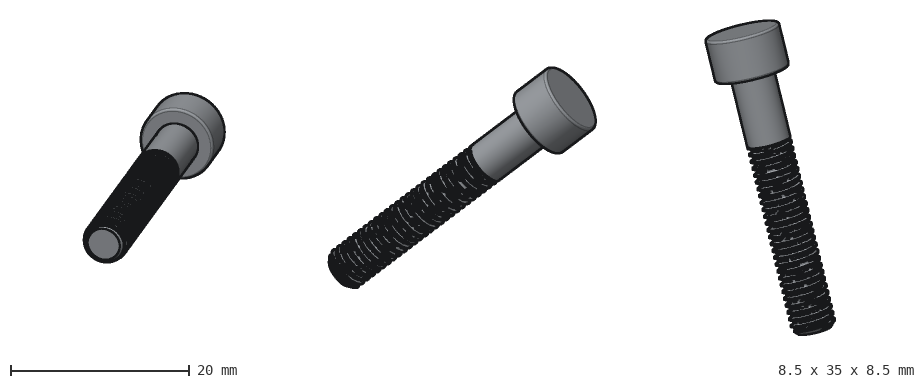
import cadquery as cq
import math

total_length = 35.0
head_diameter = 8.5
head_height = 5.0
head_edge_radius = 0.28
shank_diameter = 5.0
plain_shank_length = 7.98
tip_chamfer = 0.63

shank_radius = shank_diameter / 2
thread_length = total_length - head_height - plain_shank_length

thread_turns = 27.5
pitch = thread_length / thread_turns
thread_depth = 0.42
crest_flat = pitch / 8
root_flat = pitch / 4
first_valley = 0.542
flank_steps = 3


def make_head():
    """Plain cylindrical head with rounded rims, standing on the plane Z = 0 and pointing down."""
    head = cq.Workplane("XY").circle(head_diameter / 2).extrude(-head_height)
    return head.edges("%CIRCLE").fillet(head_edge_radius)


def on_thread_section(radius, turn):
    """Point of the thread cross-section at a radius and an angle given in turns."""
    angle = 2 * math.pi * turn
    return radius * math.cos(angle), radius * math.sin(angle)


def flank_points(start, end):
    """Spiral from one (radius, turn) pair to another, without its first point."""
    points = []
    for step in range(1, flank_steps + 1):
        share = step / flank_steps
        radius = start[0] + share * (end[0] - start[0])
        turn = start[1] + share * (end[1] - start[1])
        points.append(on_thread_section(radius, turn))
    return points


def make_thread():
    """Right-hand thread from Z = 0 upward: a cross-section of two arcs and two spirals, twisted."""
    root_radius = shank_radius - thread_depth
    root_end = root_flat / pitch / 2
    crest_start = 0.5 - crest_flat / pitch / 2
    crest_end = 1 - crest_start
    next_root_start = 1 - root_end
    section = (
        cq.Workplane("XY")
        .moveTo(*on_thread_section(root_radius, -root_end))
        .threePointArc((root_radius, 0), on_thread_section(root_radius, root_end))
        .spline(
            flank_points((root_radius, root_end), (shank_radius, crest_start)),
            includeCurrent=True,
        )
        .threePointArc((-shank_radius, 0), on_thread_section(shank_radius, crest_end))
        .spline(
            flank_points((shank_radius, crest_end), (root_radius, next_root_start)),
            includeCurrent=True,
        )
        .close()
    )
    thread = section.twistExtrude(thread_length, 360 * thread_turns)
    return thread.rotate((0, 0, 0), (0, 0, 1), -360 * first_valley / pitch)


def make_tip_cutter():
    """Ring whose conical inside trims the end of the thread to a 45 degree chamfer."""
    clearance = 0.35
    outer_radius = shank_radius + clearance
    top = thread_length + clearance
    return (
        cq.Workplane("XZ")
        .polyline([
            (outer_radius, thread_length - tip_chamfer - clearance),
            (outer_radius, top),
            (shank_radius - tip_chamfer - clearance, top),
        ])
        .close()
        .revolve(360, (0, 0, 0), (0, 1, 0))
    )


plain_shank = cq.Workplane("XY").circle(shank_radius).extrude(plain_shank_length)
threaded_rod = make_thread().cut(make_tip_cutter(), clean=False).translate((0, 0, plain_shank_length))
screw = make_head().union(plain_shank).union(threaded_rod, clean=False)
result = screw.rotate((0, 0, 0), (1, 0, 0), 90).solids()